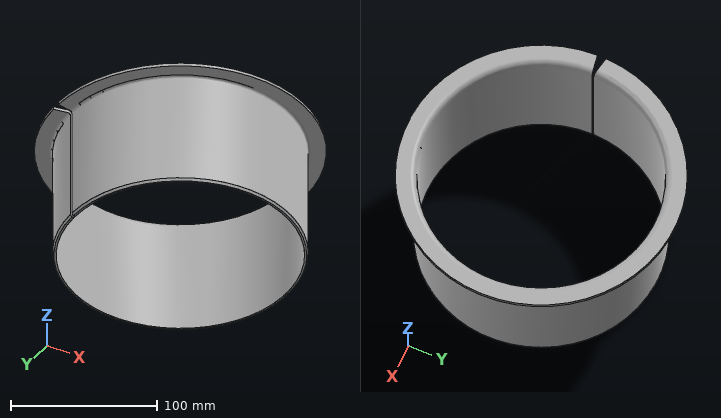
import cadquery as cq
import math

bore_radius = 85.0
wall = 2.5
flange_radius = 100.0
height = 90.0
outer_bend_radius = 2.0
chamfer_height = 2.0
chamfer_width = 1.0
split_bore_width = 1.0
split_side_angle = 10.0
overcut = 1.0

tube_radius = bore_radius + wall
inner_bend_radius = outer_bend_radius + wall
bend_center_radius = tube_radius + outer_bend_radius
bend_center_z = -inner_bend_radius


def flanged_tube():
    """Tube of constant wall, bent outward at the top (Z = 0) into a flange."""
    diagonal = math.sqrt(0.5)
    inner_mid = (
        bend_center_radius - inner_bend_radius * diagonal,
        bend_center_z + inner_bend_radius * diagonal,
    )
    outer_mid = (
        bend_center_radius - outer_bend_radius * diagonal,
        bend_center_z + outer_bend_radius * diagonal,
    )
    profile = (
        cq.Workplane("XZ")
        .moveTo(bore_radius, -height)
        .lineTo(bore_radius, bend_center_z)
        .threePointArc(inner_mid, (bend_center_radius, 0))
        .lineTo(flange_radius, 0)
        .lineTo(flange_radius, -wall)
        .lineTo(bend_center_radius, -wall)
        .threePointArc(outer_mid, (tube_radius, bend_center_z))
        .lineTo(tube_radius, -height + chamfer_height)
        .lineTo(tube_radius - chamfer_width, -height)
        .close()
    )
    tube = profile.revolve(360, (0, 0, 0), (0, 1, 0))
    return tube.rotate((0, 0, 0), (0, 0, 1), 180)


def split_wedge():
    """Full-height wedge on the -X side that opens from the bore to the flange rim."""
    slope = math.tan(math.radians(split_side_angle))
    inner_half = split_bore_width / 2 - slope * overcut
    inner_x = -(bore_radius - overcut)
    outer_half = split_bore_width / 2 + slope * (flange_radius - bore_radius + overcut)
    outer_x = -(flange_radius + overcut)
    return (
        cq.Workplane("XY")
        .workplane(offset=-height - overcut)
        .moveTo(inner_x, -inner_half)
        .lineTo(inner_x, inner_half)
        .lineTo(outer_x, outer_half)
        .lineTo(outer_x, -outer_half)
        .close()
        .extrude(height + 2 * overcut)
    )


result = flanged_tube().cut(split_wedge())